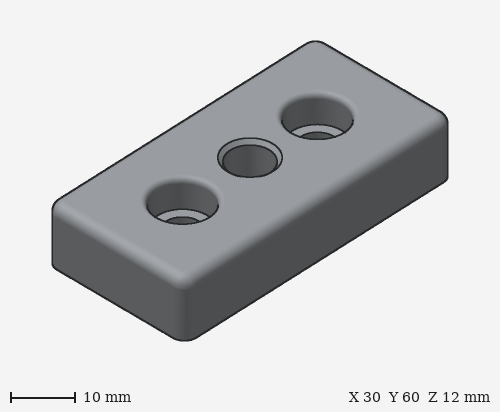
import cadquery as cq
import math

width = 30.0
length = 60.0
height = 12.0
corner_radius = 2.5
top_edge_radius = 2.0

screw_spacing = length / 2
screw_diameter = 7.0
counterbore_diameter = 11.0
counterbore_depth = 6.0
counterbore_edge_radius = 1.0

centre_diameter = 8.4
centre_edge_chamfer = 0.8


def rounded_block():
    """Block standing on Z = 0, with rounded corners and a rounded top rim."""
    block = cq.Workplane("XY").box(width, length, height, centered=(True, True, False))
    block = block.edges("|Z").fillet(corner_radius)
    return block.faces(">Z").edges().fillet(top_edge_radius)


def hole_cutter(diameter, bottom):
    """Cylinder on the Z axis from the given level up to the top face."""
    return cq.Workplane("XY").workplane(offset=bottom).circle(diameter / 2).extrude(height - bottom)


def rim_cutter(diameter, rim):
    """Flared plug that rounds over the mouth of a hole with radius rim."""
    radius = diameter / 2
    bottom = height - rim
    bend = rim * math.sin(math.radians(45))
    profile = (
        cq.Workplane("XZ")
        .moveTo(0, bottom)
        .lineTo(radius, bottom)
        .threePointArc((radius + rim - bend, bottom + bend), (radius + rim, height))
        .lineTo(0, height)
        .close()
    )
    return profile.revolve(360, (0, 0, 0), (0, 1, 0))


def screw_hole_cutter():
    """Through hole with a round-edged counterbore from the top."""
    through = hole_cutter(screw_diameter, 0)
    counterbore = hole_cutter(counterbore_diameter, height - counterbore_depth)
    return through.union(counterbore).union(rim_cutter(counterbore_diameter, counterbore_edge_radius))


def centre_hole_cutter():
    """Through hole with a chamfered top edge."""
    through = hole_cutter(centre_diameter, 0)
    chamfer = (
        cq.Workplane("XY")
        .workplane(offset=height - centre_edge_chamfer)
        .circle(centre_diameter / 2)
        .workplane(offset=centre_edge_chamfer)
        .circle(centre_diameter / 2 + centre_edge_chamfer)
        .loft()
    )
    return through.union(chamfer)


result = rounded_block().cut(centre_hole_cutter())
for side in (-1, 1):
    result = result.cut(screw_hole_cutter().translate((0, side * screw_spacing / 2, 0)))